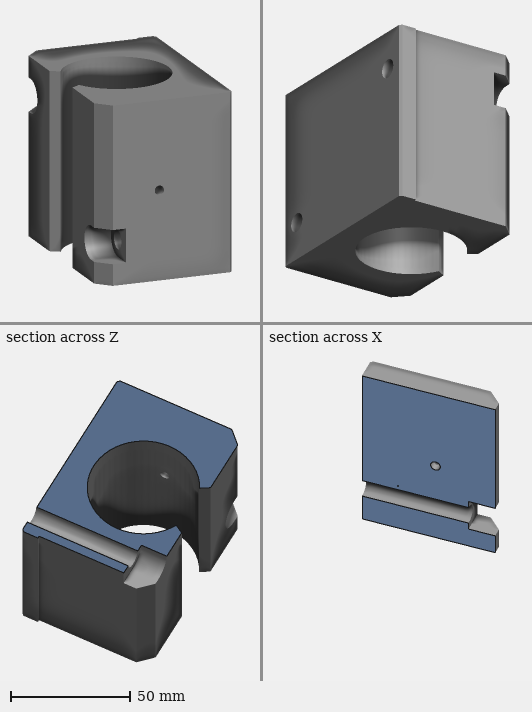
import cadquery as cq

length = 87.0
depth = 60.0
height = 79.0
half_length = length / 2
half_depth = depth / 2

back_chamfer = 1.05
front_chamfer = 6.0
ledge_step = 1.05
ledge_width = 7.9

bore_diameter = 47.0
bore_y = -5.0
mouth_inner_width = 20.9
mouth_outer_width = 25.8

mount_x = 34.0
mount_z = 22.5
mount_diameter = 8.35
pocket_width = 15.0
pocket_depth = 12.0

side_hole_y = -3.0
side_hole_diameter = 4.2


def make_block():
    side_x = -half_length + ledge_step
    outline = [
        (-half_length + back_chamfer, half_depth),
        (half_length - back_chamfer, half_depth),
        (half_length, half_depth - back_chamfer),
        (half_length, -half_depth + front_chamfer),
        (half_length - front_chamfer, -half_depth),
        (side_x + front_chamfer, -half_depth),
        (side_x, -half_depth + front_chamfer),
        (side_x, half_depth - ledge_width),
        (-half_length, half_depth - ledge_width),
        (-half_length, half_depth - back_chamfer),
    ]
    return cq.Workplane("XY").polyline(outline).close().extrude(height / 2, both=True)


def make_bore():
    radius = bore_diameter / 2
    lip_x = mouth_inner_width / 2
    lip_y = bore_y - (radius**2 - lip_x**2) ** 0.5
    mouth_x = mouth_outer_width / 2
    return (
        cq.Workplane("XY")
        .moveTo(lip_x, lip_y)
        .threePointArc((0, bore_y + radius), (-lip_x, lip_y))
        .lineTo(-mouth_x, -half_depth)
        .lineTo(mouth_x, -half_depth)
        .close()
        .extrude(height / 2, both=True)
    )


def make_mount(side):
    """Through hole with a round-ended pocket open to the side; side is -1 for -X, 1 for +X."""
    x = side * mount_x
    z = -side * mount_z
    front = cq.Workplane("XZ", origin=(x, -half_depth, z))
    hole = front.circle(mount_diameter / 2).extrude(-depth)
    round_end = front.circle(pocket_width / 2).extrude(-pocket_depth)
    run_out = half_length - mount_x
    open_end = front.center(side * run_out / 2, 0).rect(run_out, pocket_width).extrude(-pocket_depth)
    return hole.union(round_end).union(open_end)


def make_side_hole():
    start = cq.Workplane("YZ", origin=(0, side_hole_y, 0))
    return start.circle(side_hole_diameter / 2).extrude(half_length)


result = make_block().cut(make_bore()).cut(make_side_hole())
for side in (-1, 1):
    result = result.cut(make_mount(side))